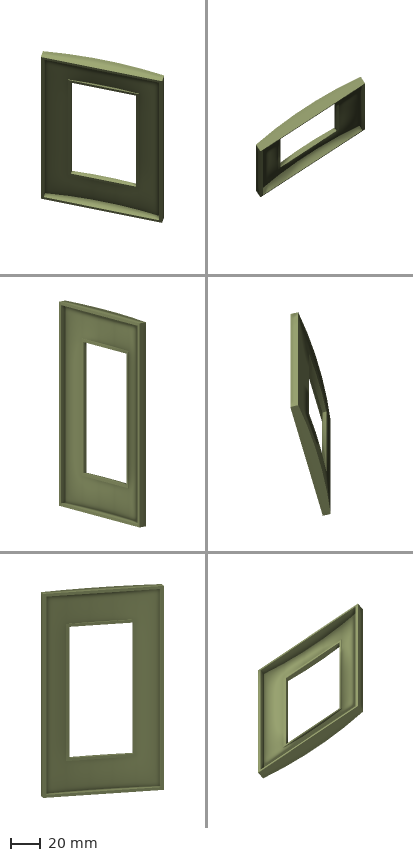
import cadquery as cq

WIDTH = 84.0
HEIGHT = 140.0
CROWN_DEPTH = 8.5
EDGE_DEPTH = 5.5

SKIN = 2.0
RIM = 2.0

WINDOW_WIDTH = 45.0
WINDOW_HEIGHT = 90.0
COLLAR_WALL = 2.0
COLLAR_FRONT = 5.0

CROWN_RISE = CROWN_DEPTH - EDGE_DEPTH
DOME_RADIUS = ((WIDTH / 2) ** 2 + CROWN_RISE**2) / (2 * CROWN_RISE)
DOME_CENTRE_Y = CROWN_DEPTH - DOME_RADIUS


def arc_height(radius, x):
    """Y of an arc about the dome axis at a distance x from the middle."""
    return DOME_CENTRE_Y + (radius**2 - x**2) ** 0.5


def domed_block(width, height, radius):
    """Block from Y = 0 up to an arc about the dome axis, centred on X and Z."""
    side_y = arc_height(radius, width / 2)
    crown_y = arc_height(radius, 0)
    return (
        cq.Workplane("XY")
        .moveTo(-width / 2, 0)
        .lineTo(width / 2, 0)
        .lineTo(width / 2, side_y)
        .threePointArc((0, crown_y), (-width / 2, side_y))
        .close()
        .extrude(height / 2, both=True)
    )


def straight_block(width, height, front_y):
    """Rectangular block from front_y to the crown, centred on X and Z."""
    depth = CROWN_DEPTH - front_y
    return (
        cq.Workplane("XY")
        .box(width, depth, height)
        .translate((0, front_y + depth / 2, 0))
    )


plate = domed_block(WIDTH, HEIGHT, DOME_RADIUS)
cavity = domed_block(WIDTH - 2 * RIM, HEIGHT - 2 * RIM, DOME_RADIUS - SKIN)

collar = straight_block(
    WINDOW_WIDTH + 2 * COLLAR_WALL,
    WINDOW_HEIGHT + 2 * COLLAR_WALL,
    COLLAR_FRONT,
)
window = straight_block(WINDOW_WIDTH, WINDOW_HEIGHT, 0)

result = plate.cut(cavity.cut(collar)).cut(window)